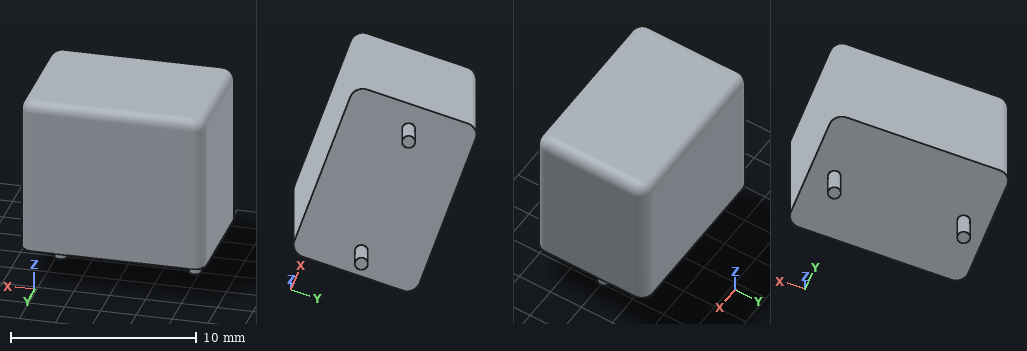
import cadquery as cq

body_length = 10.3
body_width = 7.2
body_height = 9.0
edge_radius = 0.72

pin_diameter = 0.7
pin_pitch = 7.5
pin_length = 1.9
pin_embed = 0.5


def make_body():
    """Box standing on Z = 0, rounded on every edge except the bottom rim."""
    box = cq.Workplane("XY").box(body_length, body_width, body_height, centered=(True, True, False))
    return box.edges("|Z or >Z").fillet(edge_radius)


def make_pins():
    """Two pins on the X axis, symmetric about the body centre."""
    return (
        cq.Workplane("XY", origin=(0, 0, -pin_length))
        .pushPoints([(-pin_pitch / 2, 0), (pin_pitch / 2, 0)])
        .circle(pin_diameter / 2)
        .extrude(pin_length + pin_embed)
    )


result = make_body().union(make_pins())